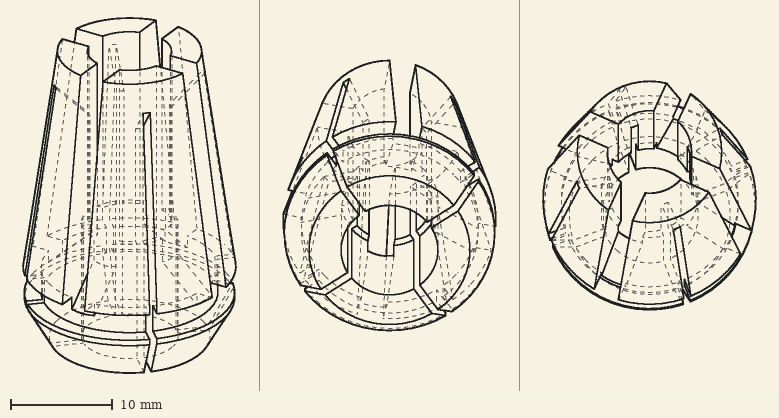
import cadquery as cq

height = 31.5
nose_radius = 7.9
collar_radius = 10.33
collar_bottom = 4.28
collar_top = 4.88
groove_radius = 8.7
groove_top = 7.7
taper_base_radius = 10.45
taper_top_radius = 7.1

bore_radius = 4.13
relief_radius = 4.75
relief_top = 12.6

slot_count = 4
slot_width = 2.58
slot_floor_inner = 9.92
slot_floor_outer = 6.3

slit_width = 0.72
slit_top = 28.45

cut_reach = 2 * taper_base_radius
cut_margin = 1.58


def make_body():
    """Revolved taper, groove, collar and nose with a stepped bore."""
    profile = [
        (relief_radius, 0),
        (nose_radius, 0),
        (collar_radius, collar_bottom),
        (collar_radius, collar_top),
        (groove_radius, collar_top),
        (groove_radius, groove_top),
        (taper_base_radius, groove_top),
        (taper_top_radius, height),
        (bore_radius, height),
        (bore_radius, relief_top),
        (relief_radius, relief_top),
    ]
    return cq.Workplane("XZ").polyline(profile).close().revolve(360, (0, 0), (0, 1))


def extrude_side(points, width):
    """Extrude an XZ outline symmetrically about the XZ plane."""
    return cq.Workplane("XZ").polyline(points).close().extrude(width / 2, both=True)


def make_wide_slot():
    """Cutter for one wide slot, running from the axis along +X."""
    slope = (slot_floor_inner - slot_floor_outer) / (groove_radius - relief_radius)
    floor_at_axis = slot_floor_inner + slope * relief_radius
    top = height + cut_margin
    side = [
        (0, floor_at_axis),
        (groove_radius, slot_floor_outer),
        (cut_reach, slot_floor_outer),
        (cut_reach, top),
        (0, top),
    ]
    return extrude_side(side, slot_width)


def make_slit():
    """Cutter for one narrow slit, with an end that falls at 45 degrees towards the axis."""
    taper_rate = (taper_base_radius - taper_top_radius) / (height - groove_top)
    exit_radius = taper_top_radius + taper_rate * (height - slit_top)
    end_at_axis = slit_top - exit_radius
    side = [
        (0, -cut_margin),
        (cut_reach, -cut_margin),
        (cut_reach, end_at_axis + cut_reach),
        (0, end_at_axis),
    ]
    return extrude_side(side, slit_width)


result = make_body()
slot_spacing = 360 / slot_count
slit_offset_angle = slot_spacing / 2
wide_slot = make_wide_slot()
slit = make_slit()
for index in range(slot_count):
    slot_angle = slot_spacing * index
    result = result.cut(wide_slot.rotate((0, 0, 0), (0, 0, 1), slot_angle))
    result = result.cut(slit.rotate((0, 0, 0), (0, 0, 1), slot_angle + slit_offset_angle))